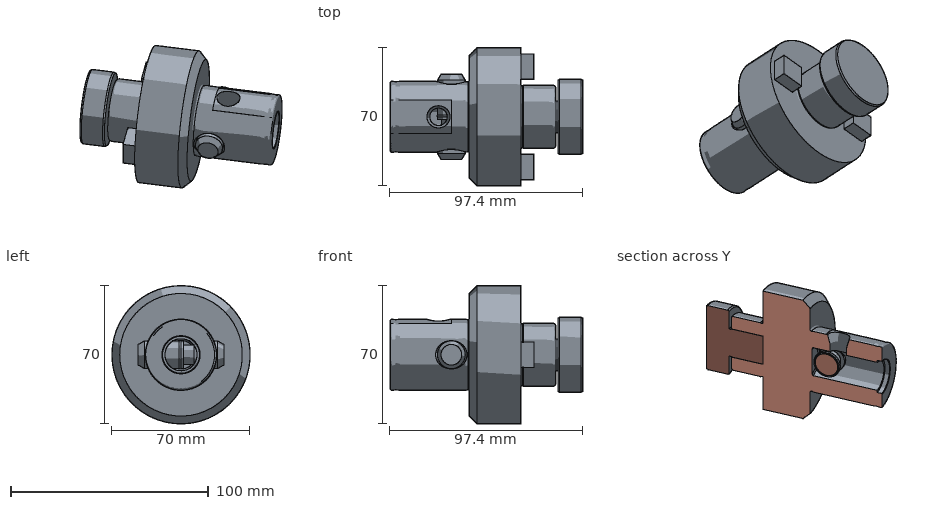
import cadquery as cq
import math


spigot_radius = 18.0
nose_round = 1.1
nose_back_angle = 8.0
nose_groove_x = 2.8
lead_in_end_x = 5.2

flange_x = 39.9
flange_length = 26.2
flange_radius = 35.0
flange_chamfer = 4.0
flange_end_x = flange_x + flange_length

pilot_radius = 16.0
pilot_end_x = 83.7
pilot_round = 1.5

undercut_depth = 0.3
undercut_round = 0.7
spigot_undercut_width = 1.7
pilot_undercut_width = 1.3

bore_radius = 8.1
bore_end_x = 38.9
bore_end_radius = 7.2
bore_end_angle = 59.0
bore_end_taper = (bore_radius - bore_end_radius) / math.tan(math.radians(bore_end_angle))
counterbore_radius = 9.3
counterbore_depth = 2.8
counterbore_chamfer = 0.3

pin_x = 31.0
pin_radius = 7.0
pin_half_length = 21.6
pin_cone_length = 3.1
pin_cone_angle = 30.0
pin_end_radius = pin_radius - pin_cone_length * math.tan(math.radians(pin_cone_angle))
neck_radius = 5.0
neck_start_y = -1.4
neck_length = 5.1

ring_y = 0.44
ring_wire_radius = 0.5
ring_outer_radius = 7.3
ring_center_radius = ring_outer_radius - ring_wire_radius
ring_groove_radius = ring_center_radius - ring_wire_radius

pin_sink_radius = 8.0
pin_sink_angle = 30.0

recess_depth = 0.06
recess_width = 17.0
recess_radius = spigot_radius - recess_depth

access_x = 24.4
access_mouth_radius = 5.8
access_radius = 4.4
access_taper_angle = 15.0

key_width = 12.7
key_height = 6.5
key_radial_length = 12.95
key_inner_y = 18.9

screw_radius = 8.1
screw_insertion = 17.5
head_radius = 19.0
head_x = 84.7
head_end_x = 97.4
head_chamfer_length = 0.9
head_chamfer_depth = 0.5


def body_blank():
    """Spigot, flange and pilot as one turned shape."""
    back_slope = math.radians(nose_back_angle)
    nose_center_r = spigot_radius - nose_round
    arc_middle = math.radians(135)
    nose_middle = (nose_round + nose_round * math.cos(arc_middle),
                   nose_center_r + nose_round * math.sin(arc_middle))
    nose_back = (nose_round + nose_round * math.sin(back_slope),
                 nose_center_r + nose_round * math.cos(back_slope))
    nose_groove_radius = nose_back[1] - (nose_groove_x - nose_back[0]) * math.tan(back_slope)

    round_offset = undercut_round * (1 - math.cos(math.radians(45)))
    spigot_floor = spigot_radius - undercut_depth
    pilot_floor = pilot_radius - undercut_depth
    pilot_offset = pilot_round * (1 - math.cos(math.radians(45)))

    return (
        cq.Workplane("XY")
        .moveTo(0, 0)
        .lineTo(0, nose_center_r)
        .threePointArc(nose_middle, nose_back)
        .lineTo(nose_groove_x, nose_groove_radius)
        .lineTo(lead_in_end_x, spigot_radius)
        .lineTo(flange_x - spigot_undercut_width, spigot_radius)
        .lineTo(flange_x - undercut_round, spigot_floor)
        .threePointArc((flange_x - round_offset, spigot_floor + round_offset),
                       (flange_x, spigot_floor + undercut_round))
        .lineTo(flange_x, flange_radius - flange_chamfer)
        .lineTo(flange_x + flange_chamfer, flange_radius)
        .lineTo(flange_end_x, flange_radius)
        .lineTo(flange_end_x, pilot_floor + undercut_round)
        .threePointArc((flange_end_x + round_offset, pilot_floor + round_offset),
                       (flange_end_x + undercut_round, pilot_floor))
        .lineTo(flange_end_x + pilot_undercut_width, pilot_radius)
        .lineTo(pilot_end_x - pilot_round, pilot_radius)
        .threePointArc((pilot_end_x - pilot_offset, pilot_radius - pilot_offset),
                       (pilot_end_x, pilot_radius - pilot_round))
        .lineTo(pilot_end_x, 0)
        .close()
        .revolve(360, (0, 0, 0), (1, 0, 0))
    )


def bore_cut():
    """Stepped blind bore with a chamfered mouth and a conical corner at its floor."""
    mouth_radius = counterbore_radius + counterbore_chamfer
    return (
        cq.Workplane("XY")
        .polyline([
            (0, 0),
            (0, mouth_radius),
            (counterbore_chamfer, counterbore_radius),
            (counterbore_depth, counterbore_radius),
            (counterbore_depth, bore_radius),
            (bore_end_x - bore_end_taper, bore_radius),
            (bore_end_x, bore_end_radius),
            (bore_end_x, 0),
        ])
        .close()
        .revolve(360, (0, 0, 0), (1, 0, 0))
    )


def recess_cut():
    """Thin curved layer removed from the top of the spigot, up to the pin axis."""
    strip = cq.Workplane("XY").box(pin_x, recess_width, flange_radius, centered=(False, True, False))
    core = cq.Workplane("YZ").circle(recess_radius).extrude(pin_x)
    return strip.cut(core)


def access_cut():
    """Hole from the top to the bore axis, tapered near the spigot surface."""
    slope = math.tan(math.radians(access_taper_angle))
    taper_end_z = recess_radius - (access_mouth_radius - access_radius) / slope
    top_z = flange_radius
    top_radius = access_mouth_radius + (top_z - recess_radius) * slope
    return (
        cq.Workplane("XZ")
        .polyline([
            (0, 0),
            (access_radius, 0),
            (access_radius, taper_end_z),
            (top_radius, top_z),
            (0, top_z),
        ])
        .close()
        .revolve(360, (0, 0, 0), (0, 1, 0))
        .translate((access_x, 0, 0))
    )


def pin_hole_cut():
    """Cross hole for the pin, countersunk on both sides of the spigot."""
    slope = math.tan(math.radians(pin_sink_angle))
    sink_start_y = spigot_radius - (pin_sink_radius - pin_radius) / slope
    outer_y = pin_half_length
    outer_radius = pin_sink_radius + (outer_y - spigot_radius) * slope
    return (
        cq.Workplane("XY")
        .polyline([
            (0, -outer_y),
            (outer_radius, -outer_y),
            (pin_radius, -sink_start_y),
            (pin_radius, sink_start_y),
            (outer_radius, outer_y),
            (0, outer_y),
        ])
        .close()
        .revolve(360, (0, 0, 0), (0, 1, 0))
        .translate((pin_x, 0, 0))
    )


def make_body():
    spigot_space = cq.Workplane("YZ").circle(flange_radius).extrude(flange_x - undercut_round)
    screw_hole = (
        cq.Workplane("YZ", origin=(pilot_end_x - screw_insertion, 0, 0))
        .circle(screw_radius)
        .extrude(screw_insertion)
    )
    return (
        body_blank()
        .cut(recess_cut())
        .cut(bore_cut())
        .cut(access_cut())
        .cut(pin_hole_cut().intersect(spigot_space))
        .cut(screw_hole)
    )


def make_pin():
    """Clamping pin with conical ends, a ring groove and a neck."""
    cone_start_y = pin_half_length - pin_cone_length
    groove_low_y = ring_y - ring_wire_radius
    groove_high_y = ring_y + ring_wire_radius
    neck_end_y = neck_start_y - neck_length
    return (
        cq.Workplane("XY")
        .polyline([
            (0, -pin_half_length),
            (pin_end_radius, -pin_half_length),
            (pin_radius, -cone_start_y),
            (pin_radius, neck_end_y),
            (neck_radius, neck_end_y),
            (neck_radius, neck_start_y),
            (pin_radius, neck_start_y),
            (pin_radius, groove_low_y),
            (ring_groove_radius, groove_low_y),
            (ring_groove_radius, groove_high_y),
            (pin_radius, groove_high_y),
            (pin_radius, cone_start_y),
            (pin_end_radius, pin_half_length),
            (0, pin_half_length),
        ])
        .close()
        .revolve(360, (0, 0, 0), (0, 1, 0))
        .translate((pin_x, 0, 0))
    )


def make_ring():
    """Round ring seated in the groove of the pin."""
    return (
        cq.Workplane("XY")
        .center(ring_center_radius, ring_y)
        .circle(ring_wire_radius)
        .revolve(360, (-ring_center_radius, 0, 0), (-ring_center_radius, 1, 0))
        .translate((pin_x, 0, 0))
    )


def make_key(side):
    """Drive key standing on the flange; side is +1 or -1 along Y."""
    center_y = side * (key_inner_y + key_radial_length / 2)
    return (
        cq.Workplane("YZ", origin=(flange_end_x, center_y, 0))
        .rect(key_radial_length, key_width)
        .extrude(key_height)
    )


def make_screw():
    """Retaining screw: a plain shank with a chamfered disc head."""
    shank_x = pilot_end_x - screw_insertion
    rim_radius = head_radius - head_chamfer_depth
    head = (
        cq.Workplane("XY")
        .polyline([
            (head_x, 0),
            (head_x, rim_radius),
            (head_x + head_chamfer_length, head_radius),
            (head_end_x - head_chamfer_length, head_radius),
            (head_end_x, rim_radius),
            (head_end_x, 0),
        ])
        .close()
        .revolve(360, (0, 0, 0), (1, 0, 0))
    )
    shank = cq.Workplane("YZ", origin=(shank_x, 0, 0)).circle(screw_radius).extrude(head_x - shank_x)
    return head.union(shank)


body = make_body()
pin = make_pin()
ring = make_ring()
keys = [make_key(side) for side in (1, -1)]
screw = make_screw()

result = cq.Compound.makeCompound([
    body.val(),
    pin.val(),
    ring.val(),
    *[key.val() for key in keys],
    screw.val(),
])